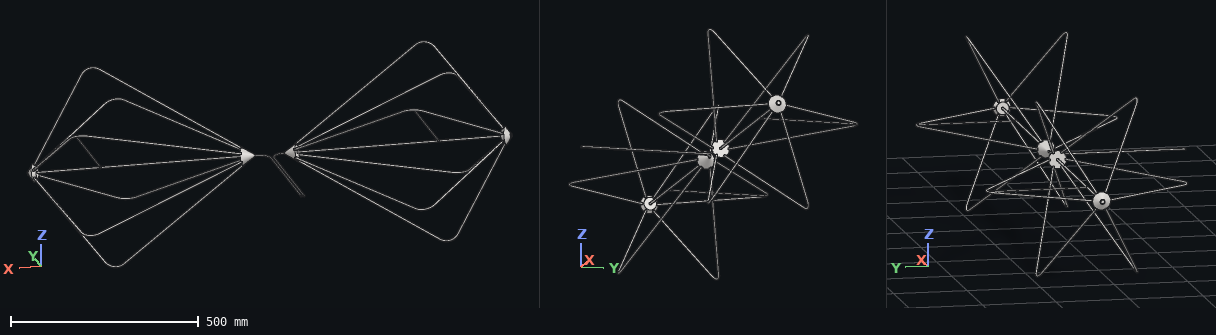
import cadquery as cq
import math

HALF_LENGTH = 664.0

WIRE_DIAMETER = 6.4
STRUT_DIAMETER = 5.0
FEED_DIAMETER = 5.0

WIRE_COUNT = 6
EMBED_DEPTH = 3.0
CAGE_START = 41.0
CAGE_END = 657.0
INNER_ANGLE = 34.1
BEND_RADIUS = 37.0

CONE_TIP_X = 40.0
CONE_BASE_X = 76.0
CONE_TIP_RADIUS = FEED_DIAMETER / 2
CONE_BASE_RADIUS = 25.0

HUB_FACE_X = 637.0
HUB_RIM_X = 648.0
HUB_CAP_X = 661.0
HUB_FACE_RADIUS = 17.0
HUB_RIM_RADIUS = 25.0
HUB_CAP_RADIUS = 7.0
STUD_RADIUS = 5.0

FEED_OFFSET = 4.0
FEED_BEND_RADIUS = 33.0
FEED_END_Y = -364.0

angle = math.radians(INNER_ANGLE)
inner_leg = (CAGE_END - CAGE_START) * math.cos(angle)
corner_x = CAGE_START + inner_leg * math.cos(angle)
corner_radius = inner_leg * math.sin(angle)
bend_start = (corner_x - BEND_RADIUS * math.cos(angle), corner_radius - BEND_RADIUS * math.sin(angle))
bend_end = (corner_x + BEND_RADIUS * math.sin(angle), corner_radius - BEND_RADIUS * math.cos(angle))
bend_centre = (
    bend_start[0] + BEND_RADIUS * math.sin(angle),
    bend_start[1] - BEND_RADIUS * math.cos(angle),
)
bend_crest = (bend_centre[0], bend_centre[1] + BEND_RADIUS)

start_x = CONE_BASE_X - EMBED_DEPTH
wire_start = (start_x, (start_x - CAGE_START) * math.tan(angle))
wire_end = (HUB_RIM_X, (CAGE_END - HUB_RIM_X) / math.tan(angle))


def revolved(profile):
    """Turn a closed (x, radius) profile about the X axis."""
    return cq.Workplane("XY").polyline(profile).close().revolve(360, (0, 0, 0), (1, 0, 0))


def make_cage_wire(turn):
    """One bent wire, turned about the X axis from the +Y direction."""
    path = (
        cq.Workplane("XY")
        .moveTo(*wire_start)
        .lineTo(*bend_start)
        .threePointArc(bend_crest, bend_end)
        .lineTo(*wire_end)
    )
    start_plane = cq.Plane(
        origin=(*wire_start, 0),
        xDir=(0, 0, 1),
        normal=(math.cos(angle), math.sin(angle), 0),
    )
    wire = cq.Workplane(start_plane).circle(WIRE_DIAMETER / 2).sweep(path)
    return wire.rotate((0, 0, 0), (1, 0, 0), turn)


def make_feed_cone():
    return revolved([
        (CONE_TIP_X, 0),
        (CONE_TIP_X, CONE_TIP_RADIUS),
        (CONE_BASE_X, CONE_BASE_RADIUS),
        (CONE_BASE_X, 0),
    ])


def make_end_hub():
    """Double cone with a short stud on its outer end."""
    return revolved([
        (HUB_FACE_X, 0),
        (HUB_FACE_X, HUB_FACE_RADIUS),
        (HUB_RIM_X, HUB_RIM_RADIUS),
        (HUB_CAP_X, HUB_CAP_RADIUS),
        (HUB_CAP_X, STUD_RADIUS),
        (HALF_LENGTH, STUD_RADIUS),
        (HALF_LENGTH, 0),
    ])


def make_axis_rod():
    rod_start = CONE_BASE_X - EMBED_DEPTH
    return (
        cq.Workplane("YZ", origin=(rod_start, 0, 0))
        .circle(WIRE_DIAMETER / 2)
        .extrude(HUB_RIM_X - rod_start)
    )


def make_strut():
    """Straight rod from the axis rod to the bend of the +Y wire."""
    return (
        cq.Workplane("XZ", origin=(corner_x, 0, 0))
        .circle(STRUT_DIAMETER / 2)
        .extrude(-bend_crest[1])
    )


def make_feed_rod():
    """Rod that leaves the cone tip along X and bends down to -Y."""
    bend_x = FEED_OFFSET + FEED_BEND_RADIUS
    diagonal = FEED_BEND_RADIUS * math.sqrt(0.5)
    rod_start = (CONE_TIP_X, 0)
    path = (
        cq.Workplane("XY")
        .moveTo(*rod_start)
        .lineTo(bend_x, 0)
        .threePointArc(
            (bend_x - diagonal, diagonal - FEED_BEND_RADIUS),
            (FEED_OFFSET, -FEED_BEND_RADIUS),
        )
        .lineTo(FEED_OFFSET, FEED_END_Y)
    )
    return cq.Workplane("YZ", origin=(*rod_start, 0)).circle(FEED_DIAMETER / 2).sweep(path)


def make_antenna_half():
    """The +X half of the antenna as one solid."""
    half = make_feed_cone().union(make_axis_rod()).union(make_end_hub())
    for index in range(WIRE_COUNT):
        half = half.union(make_cage_wire(index * 360 / WIRE_COUNT))
    return half.union(make_strut()).union(make_feed_rod())


right_half = make_antenna_half()
left_half = right_half.mirror("YZ")

result = cq.Compound.makeCompound([*right_half.solids().vals(), *left_half.solids().vals()])